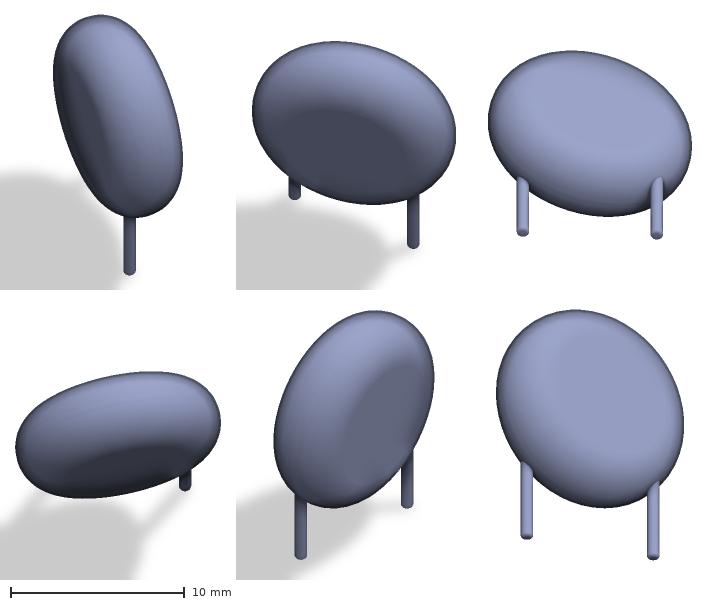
import cadquery as cq

body_diameter = 12.0
body_thickness = 4.5
edge_radius = 2.2

overall_height = 15.03
lead_diameter = 0.72
lead_spacing_x = 7.5
lead_spacing_y = 1.77
lead_tip_fillet = 0.18
lead_top_z = -3.0
lead_bottom_z = body_diameter / 2 - overall_height


def make_body():
    """Round disc with both rims generously rounded."""
    return (
        cq.Workplane("XZ")
        .circle(body_diameter / 2)
        .extrude(body_thickness / 2, both=True)
        .edges()
        .fillet(edge_radius)
    )


def make_lead(x, y):
    """Round wire with a rounded lower tip."""
    return (
        cq.Workplane("XY", origin=(x, y, lead_bottom_z))
        .circle(lead_diameter / 2)
        .extrude(lead_top_z - lead_bottom_z)
        .faces("<Z")
        .edges()
        .fillet(lead_tip_fillet)
    )


result = make_body()
for side in (-1, 1):
    lead = make_lead(side * lead_spacing_x / 2, -side * lead_spacing_y / 2)
    result = result.union(lead)